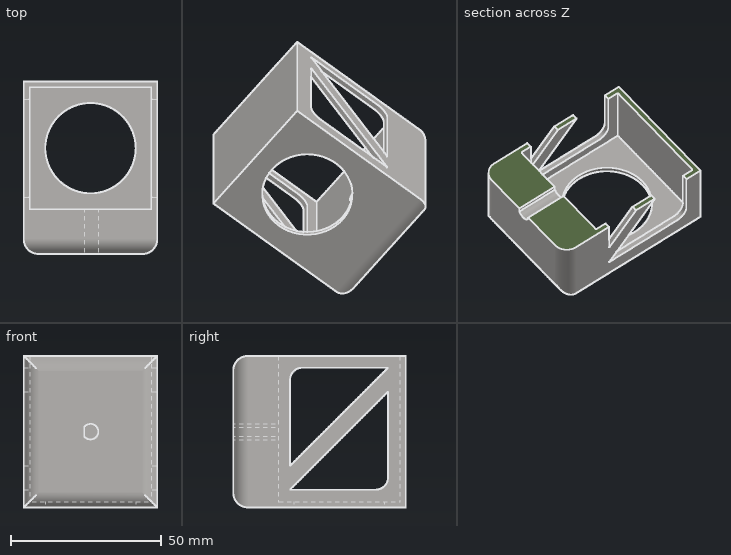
import cadquery as cq
import math

wall = 2.0
cavity_side = 40.5
front_block = 15.0
front_radius = 5.0
width = cavity_side + 2 * wall
depth = wall + cavity_side + front_block
height = 50.5

floor_hole_diameter = 30.0

window_margin = 4.0
window_radius = 4.0
window_width = cavity_side - 2 * window_margin

shaft_diameter = 5.2
shaft_flat_offset = 2.1

back_y = cavity_side / 2 + wall
front_y = back_y - depth
window_back_y = cavity_side / 2 - window_margin
window_front_y = window_back_y - window_width
window_bottom_z = wall + window_margin
window_top_z = height - window_margin


def make_body():
    """Solid block with its four front edges rounded."""
    block = cq.Workplane("XY").box(width, depth, height, centered=(True, False, False))
    return block.translate((0, front_y, 0)).faces("<Y").edges().fillet(front_radius)


def make_cavity():
    """Square pocket open at the top, plus the round floor opening."""
    pocket = cq.Workplane("XY", origin=(0, 0, wall)).rect(cavity_side, cavity_side).extrude(height)
    floor_hole = cq.Workplane("XY").circle(floor_hole_diameter / 2).extrude(height)
    return pocket.union(floor_hole)


def make_window(corner_y, corner_z, toward_y, toward_z):
    """Right triangle through both side walls, with 45 degree long side and rounded square corner."""
    triangle = (
        cq.Workplane("YZ")
        .moveTo(corner_y, corner_z)
        .lineTo(corner_y + toward_y * window_width, corner_z)
        .lineTo(corner_y, corner_z + toward_z * window_width)
        .close()
        .extrude(width, both=True)
    )
    square_corner = cq.selectors.NearestToPointSelector((0, corner_y, corner_z))
    return triangle.edges("|X").edges(square_corner).fillet(window_radius)


def make_shaft_hole():
    """D-shaped hole through the front block into the cavity, flat on the -X side."""
    radius = shaft_diameter / 2
    flat_half_height = math.sqrt(radius**2 - shaft_flat_offset**2)
    return (
        cq.Workplane("XZ", origin=(0, front_y, height / 2))
        .moveTo(-shaft_flat_offset, -flat_half_height)
        .threePointArc((radius, 0), (-shaft_flat_offset, flat_half_height))
        .close()
        .extrude(-front_block)
    )


upper_window = make_window(window_front_y, window_top_z, 1, -1)
lower_window = make_window(window_back_y, window_bottom_z, -1, 1)

result = (
    make_body()
    .cut(make_cavity())
    .cut(upper_window)
    .cut(lower_window)
    .cut(make_shaft_hole())
)